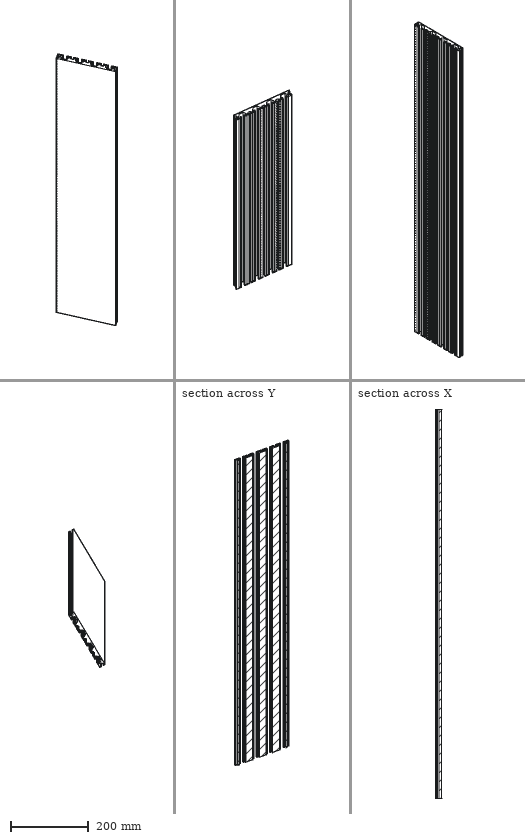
import cadquery as cq

LENGTH = 1000
WIDTH = 160
THICKNESS = 16.0
CORNER_RADIUS = 1.0

SLOT_COUNT = 4
SLOT_PITCH = WIDTH / SLOT_COUNT
SLOT_MOUTH = 9.0
SLOT_LIP_HEIGHT = 4.5
SLOT_HOOK_WIDTH = 2.0
SLOT_SKIN = 2.0
SLOT_INNER_WIDTH = 22.0
SLOT_WALL_DEPTH = 5.0
SLOT_FLOOR_WIDTH = 12.0
BASE_THICKNESS = 3.7
SLOT_DEPTH = THICKNESS - BASE_THICKNESS

GROOVE_MOUTH = 5.2
GROOVE_LIP = 2.5
GROOVE_INNER_WIDTH = 15.0
GROOVE_FLOOR_WIDTH = 5.0
GROOVE_DEPTH = 6.5

SIDE_MOUTH = 5.2
SIDE_LIP = 2.0
SIDE_INNER_WIDTH = 10.0
SIDE_FLOOR_WIDTH = 5.2
SIDE_DEPTH = 6.0


def channel(half_outline):
    """Channel open at Y = 0 and cut toward -Y, mirrored about X = 0.

    half_outline lists (half width, depth) from the mouth to the floor.
    """
    right = [(half_width, -depth) for half_width, depth in half_outline]
    left = [(-x, y) for x, y in reversed(right)]
    return cq.Workplane("XY").polyline(right + left).close().extrude(LENGTH)


def hooked_slot():
    hook_outer = SLOT_MOUTH / 2 + SLOT_HOOK_WIDTH
    return channel([
        (SLOT_MOUTH / 2, 0),
        (SLOT_MOUTH / 2, SLOT_LIP_HEIGHT),
        (hook_outer, SLOT_LIP_HEIGHT),
        (hook_outer, SLOT_SKIN),
        (SLOT_INNER_WIDTH / 2, SLOT_SKIN),
        (SLOT_INNER_WIDTH / 2, SLOT_WALL_DEPTH),
        (SLOT_FLOOR_WIDTH / 2, SLOT_DEPTH),
    ])


def dovetail_groove(mouth, lip, inner_width, floor_width, depth):
    return channel([
        (mouth / 2, 0),
        (mouth / 2, lip),
        (inner_width / 2, lip),
        (floor_width / 2, depth),
    ])


plate = (
    cq.Workplane("XY")
    .rect(WIDTH, THICKNESS)
    .extrude(LENGTH)
    .edges("|Z")
    .fillet(CORNER_RADIUS)
)

slot = hooked_slot()
for index in range(SLOT_COUNT):
    x = (index - (SLOT_COUNT - 1) / 2) * SLOT_PITCH
    plate = plate.cut(slot.translate((x, THICKNESS / 2, 0)))

rib_groove = dovetail_groove(
    GROOVE_MOUTH, GROOVE_LIP, GROOVE_INNER_WIDTH, GROOVE_FLOOR_WIDTH, GROOVE_DEPTH
)
for index in range(1, SLOT_COUNT):
    x = index * SLOT_PITCH - WIDTH / 2
    plate = plate.cut(rib_groove.translate((x, THICKNESS / 2, 0)))

side_groove = dovetail_groove(
    SIDE_MOUTH, SIDE_LIP, SIDE_INNER_WIDTH, SIDE_FLOOR_WIDTH, SIDE_DEPTH
).translate((0, WIDTH / 2, 0))
for angle in (90, -90):
    plate = plate.cut(side_groove.rotate((0, 0, 0), (0, 0, 1), angle))

result = plate